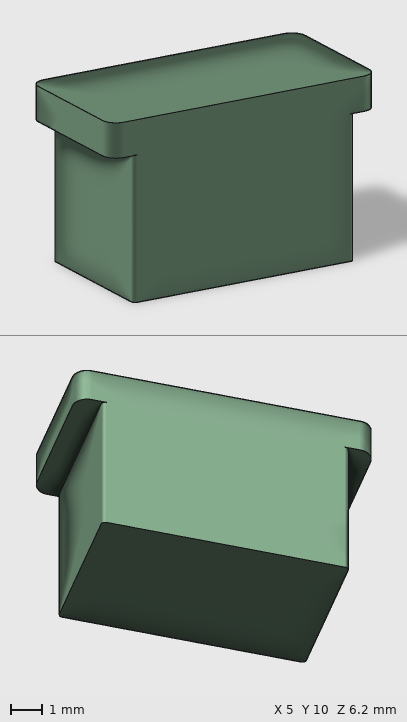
import cadquery as cq

width = 5.0
head_length = 10.0
total_height = 6.2

head_height = 1.2
head_corner_radius = 0.5

stem_length = 8.28
stem_corner_radius = 0.14
stem_height = total_height - head_height


def rounded_block(length, height, corner_radius, base_z):
    """Block of the common width with rounded vertical edges, standing on base_z."""
    return (
        cq.Workplane("XY")
        .workplane(offset=base_z)
        .rect(width, length)
        .extrude(height)
        .edges("|Z")
        .fillet(corner_radius)
    )


stem = rounded_block(stem_length, stem_height, stem_corner_radius, 0)
head = rounded_block(head_length, head_height, head_corner_radius, stem_height)

result = stem.union(head)